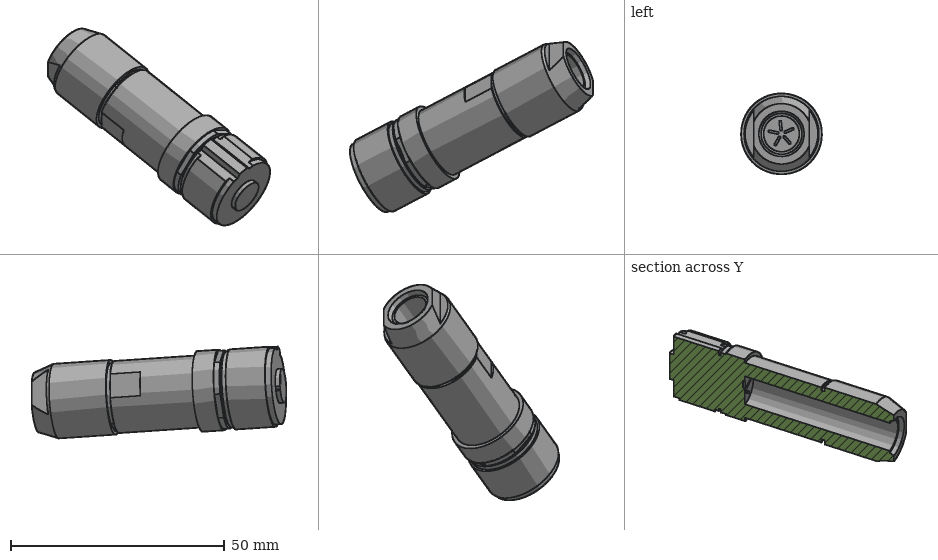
import cadquery as cq
import math

FLAT_END = 3.95
CONE_END = 4.7
GLAND_END = 18.2
BODY_START = 19.1
BODY_FLAT_END = 26.35
COLLAR_START = 39.1
COLLAR_END = 44.15
LOCK_RING_END = 45.5
NUT_START = 46.0
GRIP_START = 47.05
GRIP_END = 56.45
NUT_END = 57.9
INSERT_END = 58.95
TOTAL_LENGTH = 59.1

MAX_RADIUS = 9.5
CONE_SMALL_RADIUS = 7.1
GLAND_RADIUS = 8.8
NECK_RADIUS = 8.05
BODY_RADIUS = 8.5
LOCK_RING_RADIUS = 9.2
GROOVE_RADIUS = 8.3
NUT_RIM_RADIUS = 9.0
INSERT_RADIUS = 4.0

GLAND_FLAT = 6.5
NECK_FLAT = 7.55
BODY_FLAT = 8.0
LOCK_RING_FLAT = 8.7
NUT_FLAT = 8.4

RIDGE_BASE_HALF = 2.0
RIDGE_TOP_HALF = 1.2

BORE_MOUTH_RADIUS = 5.3
BORE_TAPER_RADIUS = 4.8
BORE_TAPER_DEPTH = 1.1
BORE_RADIUS = 4.2

SLOT_COUNT = 5
SLOT_FIRST_ANGLE = 84
SLOT_INNER_RADIUS = 0.7
SLOT_OUTER_RADIUS = 3.15
SLOT_WIDTH = 0.55
SLOT_DEPTH = 0.6

NUB_THICKNESS = 0.25
NUB_TOP = 1.25
NUB_BOTTOM = -0.8
NOTCH_TOP = -1.4
NOTCH_CORNER = -1.95
NOTCH_FLOOR = -3.3


def turned_profile():
    """Solid of revolution about X, without flats or bore."""
    sections = [
        (CONE_END, GLAND_END, GLAND_RADIUS),
        (GLAND_END, BODY_START, NECK_RADIUS),
        (BODY_START, COLLAR_START, BODY_RADIUS),
        (COLLAR_START, COLLAR_END, MAX_RADIUS),
        (COLLAR_END, LOCK_RING_END, LOCK_RING_RADIUS),
        (LOCK_RING_END, NUT_START, GROOVE_RADIUS),
        (NUT_START, GRIP_START, NUT_RIM_RADIUS),
        (GRIP_START, GRIP_END, MAX_RADIUS),
        (GRIP_END, NUT_END, NUT_RIM_RADIUS),
        (NUT_END, INSERT_END, INSERT_RADIUS),
    ]
    outline = [(0, 0), (0, CONE_SMALL_RADIUS)]
    for start, end, radius in sections:
        outline += [(start, radius), (end, radius)]
    outline.append((INSERT_END, 0))
    return cq.Workplane("XY").polyline(outline).close().revolve(360, (0, 0, 0), (1, 0, 0))


def flat_cutter(start, end, distance, angle):
    """Block outside a flat at the given distance, turned about X from +Z."""
    size = 2 * MAX_RADIUS
    block = cq.Workplane("XY").box(end - start, size, size, centered=(False, True, False))
    return block.translate((start, 0, distance)).rotate((0, 0, 0), (1, 0, 0), angle)


def cut_flats(solid, start, end, distance, angles):
    for angle in angles:
        solid = solid.cut(flat_cutter(start, end, distance, angle))
    return solid


def nut_ridge():
    """Full-length marker ridge standing on the flat of the nut, rounded to the nut radius."""
    section = [
        (-RIDGE_BASE_HALF, 0),
        (-RIDGE_BASE_HALF, NUT_FLAT),
        (-RIDGE_TOP_HALF, MAX_RADIUS),
        (RIDGE_TOP_HALF, MAX_RADIUS),
        (RIDGE_BASE_HALF, NUT_FLAT),
        (RIDGE_BASE_HALF, 0),
    ]
    length = NUT_END - NUT_START
    ridge = cq.Workplane("YZ", origin=(NUT_START, 0, 0)).polyline(section).close().extrude(length)
    envelope = cq.Workplane("YZ", origin=(NUT_START, 0, 0)).circle(MAX_RADIUS).extrude(length)
    return ridge.intersect(envelope)


def cable_bore():
    """Blind bore with a tapered mouth, ending level with the collar."""
    outline = [
        (0, 0),
        (0, BORE_MOUTH_RADIUS),
        (BORE_TAPER_DEPTH, BORE_TAPER_RADIUS),
        (BORE_TAPER_DEPTH, BORE_RADIUS),
        (COLLAR_START, BORE_RADIUS),
        (COLLAR_START, 0),
    ]
    return cq.Workplane("XY").polyline(outline).close().revolve(360, (0, 0, 0), (1, 0, 0))


def floor_slots():
    """Radial round-ended slots sunk into the bore floor."""
    length = SLOT_OUTER_RADIUS - SLOT_INNER_RADIUS
    middle = (SLOT_OUTER_RADIUS + SLOT_INNER_RADIUS) / 2
    plane = cq.Workplane("YZ", origin=(COLLAR_START, 0, 0))
    slot = plane.center(middle, 0).slot2D(length, SLOT_WIDTH).extrude(SLOT_DEPTH)
    slots = cq.Workplane("XY")
    for index in range(SLOT_COUNT):
        angle = SLOT_FIRST_ANGLE + index * 360 / SLOT_COUNT
        slots = slots.add(slot.rotate((0, 0, 0), (1, 0, 0), angle))
    return slots.combine()


def insert_nub():
    """Thin nub at the -Y edge of the insert, reaching past its front face."""
    length = TOTAL_LENGTH - NUT_END
    height = NUB_TOP - NUB_BOTTOM
    nub = cq.Workplane("XY").box(length, NUB_THICKNESS, height, centered=False)
    envelope = cq.Workplane("YZ", origin=(NUT_END, 0, 0)).circle(INSERT_RADIUS).extrude(length)
    return nub.translate((NUT_END, -INSERT_RADIUS, NUB_BOTTOM)).intersect(envelope)


def insert_notch():
    """Key notch in the insert: a sloped wall running down to a flat that faces -Y."""
    rim_at_top = -math.sqrt(INSERT_RADIUS**2 - NOTCH_TOP**2)
    section = [
        (rim_at_top, NOTCH_TOP),
        (NOTCH_FLOOR, NOTCH_CORNER),
        (NOTCH_FLOOR, -INSERT_RADIUS),
        (-INSERT_RADIUS, -INSERT_RADIUS),
        (-INSERT_RADIUS, NOTCH_TOP),
    ]
    length = INSERT_END - NUT_END
    return cq.Workplane("YZ", origin=(NUT_END, 0, 0)).polyline(section).close().extrude(length)


result = turned_profile()
result = cut_flats(result, 0, FLAT_END, GLAND_FLAT, (90, -90))
result = cut_flats(result, GLAND_END, BODY_START, NECK_FLAT, (0, 180))
result = cut_flats(result, BODY_START, BODY_FLAT_END, BODY_FLAT, (90, -90))
result = cut_flats(result, COLLAR_END, LOCK_RING_END, LOCK_RING_FLAT, (45, 135, 225, 315))
result = cut_flats(result, NUT_START, NUT_END, NUT_FLAT, (0,))
result = result.union(nut_ridge())
result = result.cut(cable_bore()).cut(floor_slots())
result = result.union(insert_nub()).cut(insert_notch())